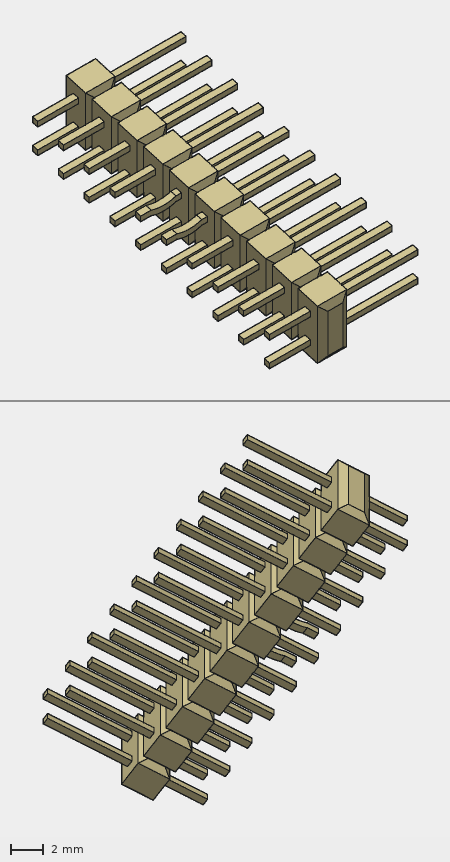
import cadquery as cq


pitch = 2.55
column_count = 10
row_count = 2

housing_depth = 2.29
housing_height = row_count * pitch
block_flat_length = 1.9
bevel_length = (pitch - block_flat_length) / 2
bevel_inset = 0.55

pin_width = 0.5
pin_back_length = 6.1
pin_front_length = 3.18

bent_columns = (4, 5)
bent_row = 1
bend_start = 0.43
bend_length = 1.93
bend_sag = 0.2

front_y = -housing_depth / 2
pin_back_y = housing_depth / 2 + pin_back_length
pin_front_y = front_y - pin_front_length


def centred_position(index, count):
    return (index - (count - 1) / 2) * pitch


def bevelled_end(x_mid, direction):
    """Half of a block, tapering towards its end face in the given X direction."""
    straight_length = block_flat_length / 2
    end_depth = housing_depth - 2 * bevel_inset
    end_height = housing_height - 2 * bevel_inset
    straight = (
        cq.Workplane("YZ", origin=(x_mid, 0, 0))
        .rect(housing_depth, housing_height)
        .extrude(direction * straight_length)
    )
    taper = (
        cq.Workplane("YZ", origin=(x_mid + direction * straight_length, 0, 0))
        .rect(housing_depth, housing_height)
        .workplane(offset=direction * bevel_length)
        .rect(end_depth, end_height)
        .loft(ruled=True)
    )
    return straight.union(taper)


def housing_block(x_mid):
    return bevelled_end(x_mid, -1).union(bevelled_end(x_mid, 1))


def straight_pin(x_mid, z_mid):
    return (
        cq.Workplane("XZ", origin=(x_mid, pin_back_y, z_mid))
        .rect(pin_width, pin_width)
        .extrude(pin_back_y - pin_front_y)
    )


def bent_pin(x_mid, z_mid):
    """Pin whose front part sags downwards in a circular arc."""
    top = pin_width / 2
    bottom = -top
    bend_back_y = front_y - bend_start
    bend_front_y = bend_back_y - bend_length
    bend_mid_y = (bend_back_y + bend_front_y) / 2
    return (
        cq.Workplane("YZ", origin=(x_mid, 0, z_mid))
        .moveTo(pin_back_y, top)
        .lineTo(bend_back_y, top)
        .threePointArc((bend_mid_y, top - bend_sag), (bend_front_y, top))
        .lineTo(pin_front_y, top)
        .lineTo(pin_front_y, bottom)
        .lineTo(bend_front_y, bottom)
        .threePointArc((bend_mid_y, bottom - bend_sag), (bend_back_y, bottom))
        .lineTo(pin_back_y, bottom)
        .close()
        .extrude(pin_width / 2, both=True)
    )


result = cq.Workplane("XY")
for column in range(column_count):
    column_x = centred_position(column, column_count)
    result = result.union(housing_block(column_x))
    for row in range(row_count):
        row_z = centred_position(row, row_count)
        is_bent = column in bent_columns and row == bent_row
        make_pin = bent_pin if is_bent else straight_pin
        result = result.union(make_pin(column_x, row_z))